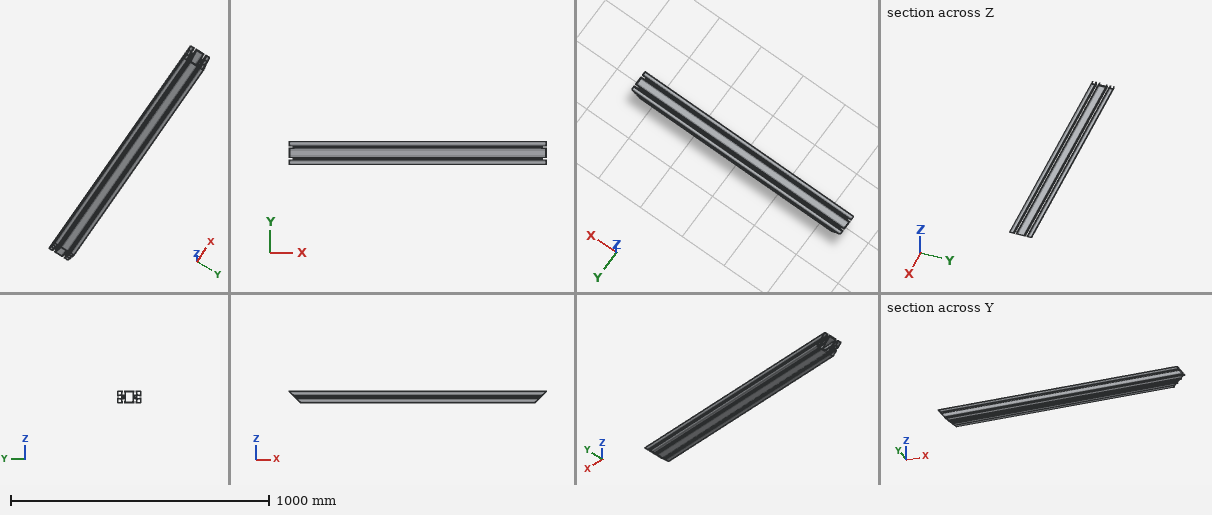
import cadquery as cq

LENGTH = 998.0
WIDTH = 90.0
HEIGHT = 45.0
CORNER_RADIUS = 2.4

SLOT_MOUTH = 8.2
MOUTH_RADIUS = 0.8
LIP = 4.0
CHAMBER_WIDTH = 13.0

CORE_DIAMETER = 14.0
BORE_DIAMETER = 7.5
ARM_THICKNESS = 3.5
GROOVE_WIDTH = 2.0
GROOVE_DEPTH = 0.8

SKIN = 1.5
WEB = 2.0
CELL_RADIUS = 0.8
GALLERY_SKIN = 3.5
GALLERY_WALL = 1.5
GALLERY_RADIUS = 2.5

MODULE = WIDTH / 2
MODULE_CENTRE = WIDTH / 4
CELL_SIZE = (MODULE - CHAMBER_WIDTH) / 2 - SKIN - WEB
CELL_OFFSET = MODULE / 2 - SKIN - CELL_SIZE / 2
GALLERY_WIDTH = 2 * (MODULE_CENTRE - CHAMBER_WIDTH / 2 - GALLERY_WALL)
GALLERY_HEIGHT = HEIGHT - 2 * GALLERY_SKIN

SIDES = (-1, 1)
AXIS_START = (0, 0, 0)
AXIS_END = (1, 0, 0)


def bar(width, height, y=0, z=0):
    """Full-length bar centred at (y, z) across the profile."""
    return cq.Workplane("XY").box(LENGTH, width, height).translate((0, y, z))


def rod(diameter):
    """Full-length round bar along the X axis."""
    return cq.Workplane("YZ").circle(diameter / 2).extrude(LENGTH / 2, both=True)


def slot(angle):
    """T-slot from the X axis up to the +Z face, turned about X by the angle."""
    face = MODULE / 2
    lip_bottom = face - LIP
    mouth_side = SLOT_MOUTH / 2
    chamber_side = CHAMBER_WIDTH / 2
    mouth_edge = mouth_side + MOUTH_RADIUS
    outline = (
        cq.Workplane("YZ", origin=(-LENGTH / 2, 0, 0))
        .moveTo(-chamber_side, 0)
        .lineTo(chamber_side, 0)
        .lineTo(chamber_side, lip_bottom)
        .lineTo(mouth_side, lip_bottom)
        .lineTo(mouth_side, face - MOUTH_RADIUS)
        .radiusArc((mouth_edge, face), MOUTH_RADIUS)
        .lineTo(-mouth_edge, face)
        .radiusArc((-mouth_side, face - MOUTH_RADIUS), MOUTH_RADIUS)
        .lineTo(-mouth_side, lip_bottom)
        .lineTo(-chamber_side, lip_bottom)
        .close()
    )
    return outline.extrude(LENGTH).rotate(AXIS_START, AXIS_END, angle)


def core(side):
    """Round core with two diagonal arms toward the outer corner cells."""
    solid = rod(CORE_DIAMETER)
    arm = bar(CHAMBER_WIDTH, ARM_THICKNESS, side * CHAMBER_WIDTH / 2)
    for angle in (-45, 45):
        solid = solid.union(arm.rotate(AXIS_START, AXIS_END, angle))
    return solid


def groove(angle):
    """V-groove along the crest of the core below a slot, turned about X by the angle.

    The cutter rises to twice the depth and width so that it clears the rounded crest.
    """
    bottom = CORE_DIAMETER / 2 - GROOVE_DEPTH
    top = bottom + 2 * GROOVE_DEPTH
    outline = [(0, bottom), (GROOVE_WIDTH, top), (-GROOVE_WIDTH, top)]
    solid = cq.Workplane("YZ").polyline(outline).close().extrude(LENGTH / 2, both=True)
    return solid.rotate(AXIS_START, AXIS_END, angle)


def module_openings(side):
    """Everything hollow in the module on one side, placed in the profile."""
    openings = rod(BORE_DIAMETER)
    for angle in (0, 180, -90 * side):
        openings = openings.union(slot(angle).cut(core(side))).union(groove(angle))
    for level in SIDES:
        cell = bar(CELL_SIZE, CELL_SIZE, side * CELL_OFFSET, level * CELL_OFFSET)
        openings = openings.union(cell.edges("|X").fillet(CELL_RADIUS))
    return openings.translate((0, side * MODULE_CENTRE, 0))


def mitre(end):
    """Wedge that cuts one end at 45 degrees, leaving the top edge longest."""
    tip = end * LENGTH / 2
    outline = [(tip, HEIGHT / 2), (tip, -HEIGHT / 2), (tip - end * HEIGHT, -HEIGHT / 2)]
    return cq.Workplane("XZ").polyline(outline).close().extrude(WIDTH / 2, both=True)


profile = bar(WIDTH, HEIGHT).edges("|X").fillet(CORNER_RADIUS)
gallery = bar(GALLERY_WIDTH, GALLERY_HEIGHT).edges("|X").fillet(GALLERY_RADIUS)
result = profile.cut(gallery)
for side in SIDES:
    result = result.cut(module_openings(side))
for end in SIDES:
    result = result.cut(mitre(end))